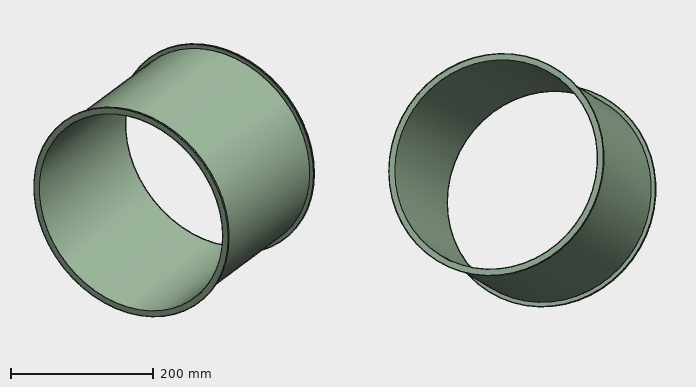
import cadquery as cq

length = 238.0
flange_diameter = 317.0
tube_diameter = 305.0
bore_diameter = 299.0
flange_thickness = 3.0


def cylinder_along_y(diameter, start, height):
    """Solid cylinder that begins at Y = start and extends toward +Y."""
    plane = cq.Workplane("XZ", origin=(0, start, 0))
    return plane.circle(diameter / 2).extrude(-height)


tube = cylinder_along_y(tube_diameter, -length / 2, length)
front_flange = cylinder_along_y(flange_diameter, -length / 2, flange_thickness)
back_flange = cylinder_along_y(flange_diameter, length / 2 - flange_thickness, flange_thickness)
bore = cylinder_along_y(bore_diameter, -length / 2, length)

result = tube.union(front_flange).union(back_flange).cut(bore)